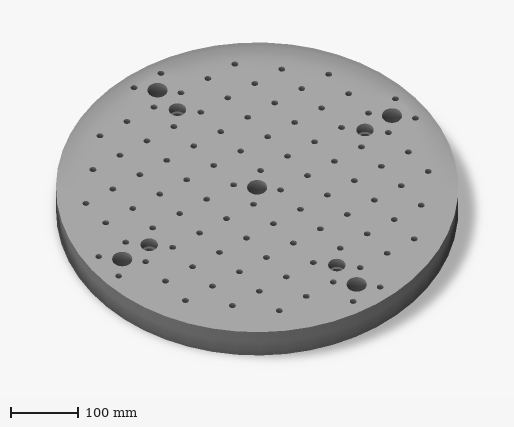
import cadquery as cq
import math

plate_diameter = 600.0
plate_thickness = 50.0

grid_pitch = 50.0
grid_hole_diameter = 10.2
grid_rim_margin = 20.0

large_hole_diameter = 30.0
large_hole_circle_radius = 250.0

bolt_hole_diameter = 18.0
bolt_head_diameter = 26.0
bolt_head_depth = 17.5
bolt_circle_radius = 200.0


def grid_points():
    """Grid positions, half a pitch off the axes, that keep clear of the rim."""
    limit = plate_diameter / 2 - grid_rim_margin
    half_count = math.ceil(limit / grid_pitch)
    offsets = [(i + 0.5) * grid_pitch for i in range(-half_count, half_count)]
    return [(x, y) for x in offsets for y in offsets if math.hypot(x, y) <= limit]


def axis_points(radius):
    """One point on each half of the X and Y axes."""
    return [(radius, 0), (0, radius), (-radius, 0), (0, -radius)]


def drill_through(plate, points, diameter):
    return plate.faces(">Z").workplane(origin=(0, 0, 0)).pushPoints(points).hole(diameter)


def drill_bolt_holes(plate):
    top = plate.faces(">Z").workplane(origin=(0, 0, 0))
    return top.pushPoints(axis_points(bolt_circle_radius)).cboreHole(
        bolt_hole_diameter, bolt_head_diameter, bolt_head_depth
    )


large_hole_points = [(0, 0)] + axis_points(large_hole_circle_radius)

result = cq.Workplane("XY").circle(plate_diameter / 2).extrude(plate_thickness)
result = drill_through(result, grid_points(), grid_hole_diameter)
result = drill_through(result, large_hole_points, large_hole_diameter)
result = drill_bolt_holes(result)